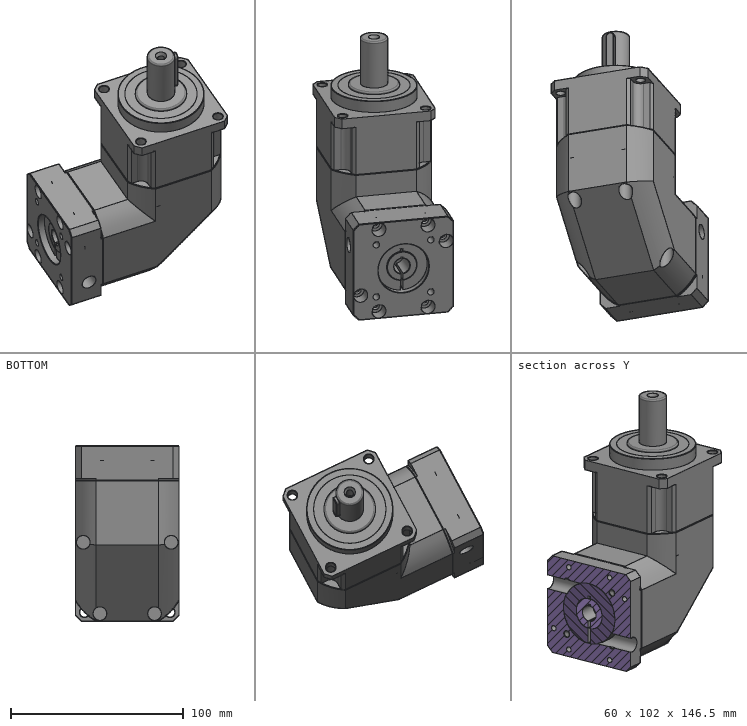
import cadquery as cq
import math


width = 60.0
half = width / 2
corner_radius = 35.0
flat_half = math.sqrt(corner_radius**2 - half**2)
edge_break = 0.5
seam_chamfer = 0.5
hole_break = 0.3
drill_point = 118.0
reach = 146.5

UP = (0, 0, 1)
DOWN = (0, 0, -1)
INWARD = (0, 1, 0)

input_axis_z = half
elbow_top = 73.8
flange_bottom = 103.5
flange_top = 109.5
pilot_top = 116.5
collar_top = 117.8
shaft_top = 146.5

front_y = -72.0
elbow_front = -51.9
plate_step = 1.0
ring_front_y = -67.7
ring_step_y = -62.1
bush_front_y = -68.1

slant_bottom_y = -14.2
slant_top_z = 37.0
slant_side_inset = 10.7
bolt_hole_radius = 4.0
bolt_seat_z = 58.6
bolt_places = [(25.5, -15.8), (15.8, 25.5)]

corner_chamfer = 3.5
flange_hole_place = 24.8
flange_hole_radius = 2.8
pocket_wall = 20.0
pocket_fillet = 4.5
pilot_radius = 25.0

shaft_diameter = 16.0
shaft_radius = shaft_diameter / 2
collar_radius = 15.0
collar_fillet = 0.9
shoulder_radius = 21.0
shaft_fillet = 0.9
center_hole_radius = 2.0
center_hole_mouth = 3.2
center_hole_bevel = 2.0
center_hole_depth = 11.7
key_width = 5.0
key_bottom_y = 5.0
key_top_y = 10.0
key_low_z = 119.8
key_high_z = 144.9

pilot_bore_radius = 15.1
cap_screw_radius = 4.1
cap_screw_depth = 8.8
cap_drill_mouth = 2.3
cap_drill_radius = 1.5
cap_drill_depth = 5.9
cap_screw_places = [
    (-14.6, 25.5), (14.6, 25.5), (-14.6, -25.5), (14.6, -25.5), (25.5, 14.6), (-25.5, -14.6),
]
motor_hole_place = 16.3
motor_hole_radius = 1.9
motor_hole_depth = 10.3
access_hole_y = -60.7
access_hole_offset = 13.0
access_hole_radius = 4.4
ring_rear_radius = 18.3
bush_radius = 9.1
bush_bore_radius = 4.7
ring_slit = 1.6
ring_notch_radius = 10.5
bush_slit = 1.2
bush_notch_radius = 5.5


def trimmed_square(plane):
    """Square outline whose corners are cut by a circle about its centre."""
    a, b = flat_half, half
    mid = corner_radius / math.sqrt(2)
    return (
        plane.moveTo(-a, -b).lineTo(a, -b)
        .threePointArc((mid, -mid), (b, -a)).lineTo(b, a)
        .threePointArc((mid, mid), (a, b)).lineTo(-a, b)
        .threePointArc((-mid, mid), (-b, a)).lineTo(-b, -a)
        .threePointArc((-mid, -mid), (-a, -b)).close()
    )


def chamfered_square(plane):
    """Square outline with straight cut corners."""
    a, b = half - corner_chamfer, half
    corners = [(a, -b), (b, -a), (b, a), (a, b), (-a, b), (-b, a), (-b, -a), (-a, -b)]
    return plane.polyline(corners).close()


def rounded_bar(plane, inset):
    """Long bar whose low side is a flat between two arcs that drop by the inset to its sides."""
    return (
        plane.moveTo(-flat_half, 0).lineTo(flat_half, 0)
        .radiusArc((half, inset), -corner_radius).lineTo(half, reach).lineTo(-half, reach)
        .lineTo(-half, inset).radiusArc((-flat_half, 0), -corner_radius).close()
        .extrude(reach, both=True)
    )


def cylinder(radius, start, direction, length):
    """Cylinder that begins at a point and runs along a direction."""
    return cq.Workplane(
        cq.Solid.makeCylinder(radius, length, cq.Vector(*start), cq.Vector(*direction))
    )


def bevel(large, small, start, direction, depth=None):
    """Cone that bevels the mouth of a hole, at 45 degrees unless a depth is given."""
    depth = depth or large - small
    return cq.Workplane(
        cq.Solid.makeCone(large, small, depth, cq.Vector(*start), cq.Vector(*direction))
    )


def drilled_hole(radius, start, direction, depth):
    """Blind hole with a drill tip below its full-diameter depth."""
    tip_length = radius / math.tan(math.radians(drill_point / 2))
    tip_start = cq.Vector(*start) + cq.Vector(*direction) * depth
    tip = cq.Solid.makeCone(radius, 0, tip_length, tip_start, cq.Vector(*direction))
    return cylinder(radius, start, direction, depth).union(cq.Workplane(tip))


def make_elbow():
    """Right-angle housing with a slanted back and screw holes rising from below."""
    column = trimmed_square(cq.Workplane("XY")).extrude(elbow_top)
    column = column.faces(">Z").edges().chamfer(seam_chamfer)
    arm = trimmed_square(cq.Workplane("XZ", origin=(0, half, input_axis_z))).extrude(half - elbow_front)
    arm = arm.faces("<Y").edges().chamfer(seam_chamfer)

    corner_inset = half - flat_half
    back = rounded_bar(
        cq.Workplane(cq.Plane((0, half, 0), xDir=(-1, 0, 0), normal=(0, 0, 1))), corner_inset
    )
    bottom = rounded_bar(cq.Workplane("XZ"), corner_inset)
    slant = rounded_bar(
        cq.Workplane(
            cq.Plane(
                (0, slant_bottom_y, 0),
                xDir=(1, 0, 0),
                normal=(0, slant_bottom_y - half, -slant_top_z),
            )
        ),
        slant_side_inset,
    )
    elbow = column.intersect(bottom).union(arm.intersect(back)).intersect(slant)

    for x, y in bolt_places:
        for side in (-1, 1):
            elbow = elbow.cut(cylinder(bolt_hole_radius, (side * x, y, 0), UP, bolt_seat_z))
    return elbow


def make_output_housing():
    """Trimmed square body with corner pockets, a square flange and a round pilot."""
    body = trimmed_square(cq.Workplane("XY", origin=(0, 0, elbow_top))).extrude(flange_bottom - elbow_top)
    flange = chamfered_square(cq.Workplane("XY", origin=(0, 0, flange_bottom)))
    flange = flange.extrude(flange_top - flange_bottom)
    pilot = cylinder(pilot_radius, (0, 0, flange_top), UP, pilot_top - flange_top)
    pilot = pilot.faces(">Z").edges().chamfer(hole_break)

    pocket_size = half - pocket_wall
    for x in (-1, 1):
        for y in (-1, 1):
            middle = pocket_wall + pocket_size / 2
            pocket = (
                cq.Workplane("XY", origin=(x * middle, y * middle, elbow_top))
                .rect(pocket_size, pocket_size)
                .extrude(flange_bottom - elbow_top)
                .edges("|Z")
                .edges(cq.selectors.NearestToPointSelector((0, 0, (elbow_top + flange_bottom) / 2)))
                .fillet(pocket_fillet)
            )
            body = body.cut(pocket)
            place = (x * flange_hole_place, y * flange_hole_place, flange_top)
            flange = flange.cut(cylinder(flange_hole_radius, place, DOWN, flange_top - flange_bottom))
            flange = flange.cut(bevel(flange_hole_radius + hole_break, flange_hole_radius, place, DOWN))

    housing = body.union(flange).union(pilot)
    return housing.cut(cylinder(shoulder_radius, (0, 0, pilot_top), DOWN, pilot_top - flange_top))


def make_key():
    """Parallel key with round ends and a bevelled outer rim."""
    length = key_high_z - key_low_z
    middle_z = (key_low_z + key_high_z) / 2
    return (
        cq.Workplane("XZ", origin=(0, key_bottom_y, middle_z))
        .slot2D(length, key_width, 90)
        .extrude(key_bottom_y - key_top_y)
        .faces(">Y").edges().chamfer(edge_break)
    )


def make_shaft(key):
    """Output shaft with its collar, the shoulder disc in the pilot, a keyway and a centre hole."""
    shaft = cylinder(shaft_radius, (0, 0, pilot_top), UP, shaft_top - pilot_top)
    shaft = shaft.faces(">Z").edges().fillet(shaft_fillet)
    collar = cylinder(collar_radius, (0, 0, pilot_top), UP, collar_top - pilot_top)
    collar = collar.faces(">Z").edges().fillet(collar_fillet)
    shoulder = cylinder(shoulder_radius, (0, 0, flange_top), UP, pilot_top - flange_top)
    end = (0, 0, shaft_top)
    return (
        shoulder.union(collar).union(shaft)
        .cut(key)
        .cut(drilled_hole(center_hole_radius, end, DOWN, center_hole_depth))
        .cut(bevel(center_hole_mouth, center_hole_radius, end, DOWN, center_hole_bevel))
    )


def make_input_plate():
    """Motor plate with a pilot bore, screw holes and side holes to the clamp ring."""
    spigot_front = elbow_front - plate_step
    spigot = trimmed_square(cq.Workplane("XZ", origin=(0, elbow_front, input_axis_z))).extrude(plate_step)
    block = chamfered_square(cq.Workplane("XZ", origin=(0, spigot_front, input_axis_z)))
    block = block.extrude(spigot_front - front_y).faces("<Y").edges().chamfer(edge_break)
    front = (0, front_y, input_axis_z)
    plate = (
        spigot.union(block)
        .cut(cylinder(pilot_bore_radius, front, INWARD, elbow_front - front_y))
        .cut(cylinder(ring_rear_radius, (0, ring_step_y, input_axis_z), INWARD, elbow_front - ring_step_y))
        .cut(bevel(pilot_bore_radius + hole_break, pilot_bore_radius, front, INWARD))
    )
    for x, z in cap_screw_places:
        place = (x, front_y, input_axis_z + z)
        seat = (x, front_y + cap_screw_depth, input_axis_z + z)
        plate = plate.cut(cylinder(cap_screw_radius, place, INWARD, cap_screw_depth))
        plate = plate.cut(drilled_hole(cap_drill_radius, seat, INWARD, cap_drill_depth))
        plate = plate.cut(bevel(cap_drill_mouth, cap_drill_radius, seat, INWARD))
    for x in (-motor_hole_place, motor_hole_place):
        for z in (-motor_hole_place, motor_hole_place):
            place = (x, front_y, input_axis_z + z)
            plate = plate.cut(drilled_hole(motor_hole_radius, place, INWARD, motor_hole_depth))
    for side in (-1, 1):
        place = (side * half, access_hole_y, input_axis_z - side * access_hole_offset)
        plate = plate.cut(cylinder(access_hole_radius, place, (-side, 0, 0), half))
    return plate


def cut_slit_and_notch(sleeve, slit, reach_down, reach_up):
    """Slit a sleeve through at the bottom and notch the top of its bore, along its whole length."""
    plane = cq.Workplane("XZ", origin=(0, elbow_front, input_axis_z))
    length = elbow_front - front_y
    gap = plane.center(0, -reach_down / 2).rect(slit, reach_down).extrude(length)
    notch = plane.center(0, reach_up / 2).rect(slit, reach_up).extrude(length)
    return sleeve.cut(gap).cut(notch)


def make_clamp_ring():
    """Slit ring that fills the pilot bore and widens behind it."""
    front = (0, ring_front_y, input_axis_z)
    step = (0, ring_step_y, input_axis_z)
    length = elbow_front - ring_front_y
    ring = (
        cylinder(pilot_bore_radius, front, INWARD, length)
        .union(cylinder(ring_rear_radius, step, INWARD, elbow_front - ring_step_y))
        .cut(cylinder(bush_radius, front, INWARD, length))
    )
    return cut_slit_and_notch(ring, ring_slit, ring_rear_radius, ring_notch_radius)


def make_bush():
    """Slit bush inside the clamp ring, bevelled at its front end."""
    front = (0, bush_front_y, input_axis_z)
    length = elbow_front - bush_front_y
    bush = (
        cylinder(bush_radius, front, INWARD, length).faces("<Y").edges().chamfer(edge_break)
        .cut(cylinder(bush_bore_radius, front, INWARD, length))
        .cut(bevel(bush_bore_radius + hole_break, bush_bore_radius, front, INWARD))
    )
    return cut_slit_and_notch(bush, bush_slit, bush_radius, bush_notch_radius)


elbow = make_elbow()
output_housing = make_output_housing()
key = make_key()
shaft = make_shaft(key)
input_plate = make_input_plate()
clamp_ring = make_clamp_ring()
bush = make_bush()

result = cq.Compound.makeCompound([
    elbow.val(), output_housing.val(), shaft.val(), key.val(),
    input_plate.val(), clamp_ring.val(), bush.val(),
])